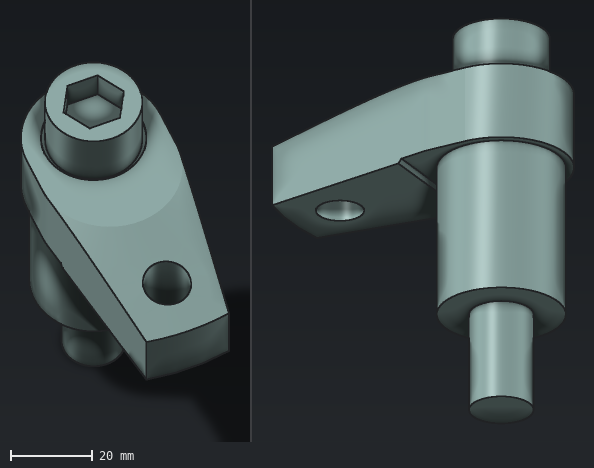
import cadquery as cq
import math

screw_length = 101.0
head_height = 16.0
head_above_arm = 15.0
arm_thickness = 20.0
foot_drop = 1.0
sleeve_length = 40.0
arm_top = screw_length - head_above_arm
arm_bottom = arm_top - arm_thickness
foot_bottom = arm_bottom - foot_drop
sleeve_bottom = arm_bottom - sleeve_length
head_bottom = screw_length - head_height

head_radius = 12.0
shank_radius = 8.0
hex_across_flats = 14.0
hex_depth = 8.0

sleeve_radius = 16.0
head_clearance = 1.0
arm_radius = 18.0
arm_flat_length = 10.0
tip_radius = 60.0
taper_angle = 8.2
cone_slope = 0.156
foot_start = 18.7
hole_x = 46.0
hole_radius = 6.0


def make_screw():
    shank = cq.Workplane("XY").circle(shank_radius).extrude(head_bottom)
    head = cq.Workplane("XY").workplane(offset=head_bottom).circle(head_radius).extrude(head_height)
    hex_across_corners = hex_across_flats / math.cos(math.radians(30))
    socket = (
        cq.Workplane("XY")
        .workplane(offset=screw_length - hex_depth)
        .polygon(6, hex_across_corners)
        .extrude(hex_depth)
        .rotate((0, 0, 0), (0, 0, 1), 90)
    )
    return shank.union(head).cut(socket)


def make_arm_blank():
    """Tapered outline, with sides tangent to a round centred at the end of the flats."""
    taper = math.radians(taper_angle)
    side_x = arm_flat_length + arm_radius * math.sin(taper)
    side_y = arm_radius * math.cos(taper)
    round_mid_x = arm_flat_length + arm_radius * math.sin(taper / 2)
    round_mid_y = arm_radius * math.cos(taper / 2)

    side_distance = arm_radius + arm_flat_length * math.sin(taper)
    tip_angle = math.acos(side_distance / tip_radius)
    corner_angle = math.pi / 2 - taper - tip_angle
    corner_x = tip_radius * math.cos(corner_angle)
    corner_y = tip_radius * math.sin(corner_angle)

    return (
        cq.Workplane("XY")
        .workplane(offset=foot_bottom)
        .moveTo(0, arm_radius)
        .lineTo(arm_flat_length, arm_radius)
        .threePointArc((round_mid_x, round_mid_y), (side_x, side_y))
        .lineTo(corner_x, corner_y)
        .threePointArc((tip_radius, 0), (corner_x, -corner_y))
        .lineTo(side_x, -side_y)
        .threePointArc((round_mid_x, -round_mid_y), (arm_flat_length, -arm_radius))
        .lineTo(0, -arm_radius)
        .threePointArc((-arm_radius, 0), (0, arm_radius))
        .close()
        .extrude(arm_top - foot_bottom)
    )


def make_top_envelope():
    """Cone frustum sloping from the round of the arm to the tip, with a block over the level sleeve end."""
    height = arm_top - foot_bottom
    base_radius = arm_radius + height / cone_slope
    cone = cq.Solid.makeCone(base_radius, arm_radius, height, cq.Vector(arm_flat_length, 0, foot_bottom))
    block_length = arm_flat_length + arm_radius
    level_end = cq.Workplane("XY").box(block_length, 2 * arm_radius, height, centered=(False, True, False))
    return cq.Workplane(obj=cone).union(level_end.translate((-arm_radius, 0, foot_bottom)))


def make_underside_relief():
    """Space below the sleeve end of the arm, ending in a 45 degree step to the foot."""
    return (
        cq.Workplane("XZ")
        .moveTo(-arm_radius, foot_bottom)
        .lineTo(foot_start + foot_drop, foot_bottom)
        .lineTo(foot_start, arm_bottom)
        .lineTo(-arm_radius, arm_bottom)
        .close()
        .extrude(arm_radius, both=True)
    )


def make_clamp():
    arm = make_arm_blank().intersect(make_top_envelope()).cut(make_underside_relief())
    sleeve = (
        cq.Workplane("XY").workplane(offset=sleeve_bottom).circle(sleeve_radius).extrude(sleeve_length)
    )
    bore = cq.Workplane("XY").circle(shank_radius).extrude(screw_length)
    counterbore = (
        cq.Workplane("XY")
        .workplane(offset=head_bottom)
        .circle(head_radius + head_clearance)
        .extrude(head_height)
    )
    tip_hole = cq.Workplane("XY").center(hole_x, 0).circle(hole_radius).extrude(screw_length)
    return arm.union(sleeve).cut(bore).cut(counterbore).cut(tip_hole)


screw = make_screw()
clamp = make_clamp()
result = cq.Compound.makeCompound([*screw.solids().vals(), *clamp.solids().vals()])